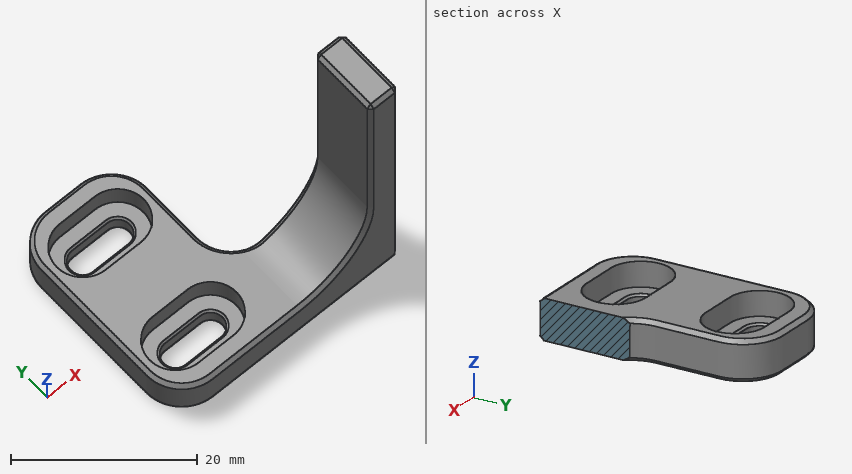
import cadquery as cq

foot_length = 15.0
foot_width = 27.0
foot_thickness = 5.0
corner_radius = 5.0

arm_reach = 31.5
arm_width = 9.0
arm_thickness = 4.0
arm_height = 38.0
bend_radius = 10.0
arm_face_x = arm_reach - arm_thickness
bend_start_x = arm_face_x - bend_radius
bend_end_z = foot_thickness + bend_radius

edge_chamfer = 0.5

slot_count = 2
slot_x = foot_length / 2
first_slot_y = 6.0
slot_pitch = 15.0
slot_travel = 5.0
slot_width = 3.4
slot_chamfer = 0.25
recess_width = 7.4
recess_depth = 3.0

margin = 1.0


def make_profile_bar():
    """L-shaped side profile with the inside bend, as wide as the foot."""
    return (
        cq.Workplane("XZ")
        .moveTo(0, 0)
        .lineTo(arm_reach, 0)
        .lineTo(arm_reach, arm_height)
        .lineTo(arm_face_x, arm_height)
        .lineTo(arm_face_x, bend_end_z)
        .radiusArc((bend_start_x, foot_thickness), bend_radius)
        .lineTo(0, foot_thickness)
        .close()
        .extrude(-foot_width)
    )


def make_plan_block():
    """L-shaped plan outline with rounded foot corners, as tall as the arm."""
    foot_zone = cq.selectors.BoxSelector(
        (-margin, -margin, 0),
        (foot_length + margin, foot_width + margin, arm_height),
    )
    return (
        cq.Workplane("XY")
        .moveTo(0, 0)
        .lineTo(arm_reach, 0)
        .lineTo(arm_reach, arm_width)
        .lineTo(foot_length, arm_width)
        .lineTo(foot_length, foot_width)
        .lineTo(0, foot_width)
        .close()
        .extrude(arm_height)
        .edges("|Z")
        .edges(foot_zone)
        .fillet(corner_radius)
    )


def chamfer_outer_edges(bracket):
    """Chamfer every sharp edge, leaving out the seams between tangent faces."""
    along_y = cq.selectors.ParallelDirSelector(cq.Vector(0, 1, 0))
    along_z = cq.selectors.ParallelDirSelector(cq.Vector(0, 0, 1))
    bend_zone = cq.selectors.BoxSelector(
        (bend_start_x - margin, 0, foot_thickness - margin),
        (arm_face_x + margin, arm_width, bend_end_z + margin),
    )
    corner_zone = cq.selectors.BoxSelector(
        (-margin, -margin, 0),
        (foot_length + corner_radius + margin, foot_width + margin, foot_thickness),
    )
    seams = (along_y & bend_zone) + (along_z & corner_zone)
    return bracket.edges(-seams).chamfer(edge_chamfer)


def make_slot(width, bottom, top):
    """Straight slot cutter along X, between two heights."""
    return (
        cq.Workplane("XY")
        .workplane(offset=bottom)
        .slot2D(slot_travel + width, width)
        .extrude(top - bottom)
    )


def make_slot_cutter():
    """Through slot, chamfered where it opens into the wide recess above it."""
    recess_floor = foot_thickness - recess_depth
    mouth_width = slot_width + 2 * slot_chamfer
    through = make_slot(slot_width, 0, foot_thickness)
    recess = make_slot(recess_width, recess_floor, foot_thickness)
    mouth = (
        make_slot(mouth_width, recess_floor - slot_chamfer, foot_thickness)
        .faces("<Z")
        .chamfer(slot_chamfer)
    )
    return through.union(mouth).union(recess)


def cut_slots(bracket):
    """Cut the row of adjustment slots through the foot."""
    cutter = make_slot_cutter()
    for index in range(slot_count):
        slot_y = first_slot_y + index * slot_pitch
        bracket = bracket.cut(cutter.translate((slot_x, slot_y, 0)))
    return bracket


body = make_profile_bar().intersect(make_plan_block())
result = cut_slots(chamfer_outer_edges(body))